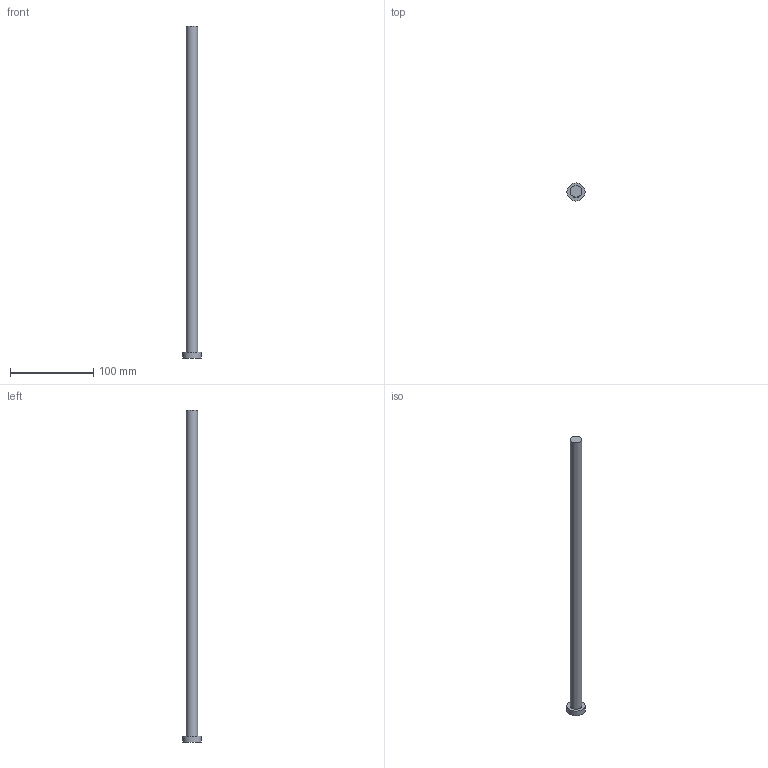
import cadquery as cq

overall_length = 400.0
head_diameter = 22.0
head_thickness = 7.0
shaft_diameter = 14.0


def make_head():
    return cq.Workplane("XY").circle(head_diameter / 2).extrude(head_thickness)


def make_shaft():
    return cq.Workplane("XY").circle(shaft_diameter / 2).extrude(overall_length)


result = make_head().union(make_shaft())